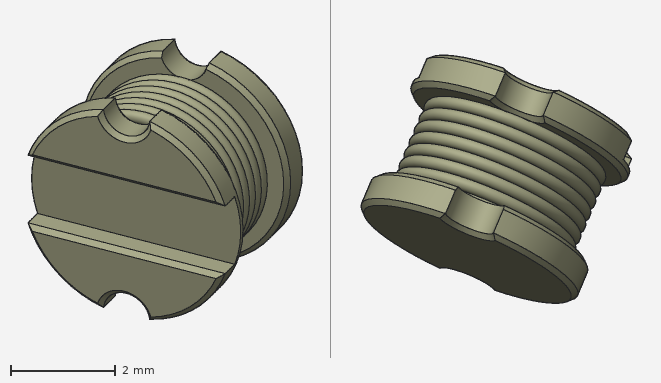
import cadquery as cq

flange_radius = 2.25
overall_length = 3.2
flange_thickness = 0.698
chamfer = 0.1

notch_radius = 0.5

slot_width = 1.5
slot_depth = 0.5

turn_count = 7
wire_radius = 0.125
winding_radius = 1.75
core_radius = 1.5

front_face = -overall_length / 2
front_flange_back = front_face + flange_thickness
rear_flange_front = overall_length / 2 - flange_thickness


def cylinder_along_y(radius, start, length, z=0.0):
    """Cylinder parallel to Y that begins at Y = start."""
    return cq.Workplane("XZ", origin=(0, start, z)).circle(radius).extrude(-length)


def make_flange(start, notch_chamfer_faces):
    """Disc with chamfered rims and two round edge notches, chamfered on the selected faces."""
    flange = cylinder_along_y(flange_radius, start, flange_thickness)
    flange = flange.faces("<Y or >Y").chamfer(chamfer)
    for notch_z in (-flange_radius, flange_radius):
        notch = cylinder_along_y(notch_radius, start, flange_thickness, notch_z)
        for face in notch_chamfer_faces:
            notch = notch.union(make_notch_flare(start, notch_z, face))
        flange = flange.cut(notch)
    return flange


def make_notch_flare(start, z, face):
    """Cone that chamfers a notch at the "front" or "rear" face of a flange."""
    if face == "front":
        face_y, inward = start, 1
    else:
        face_y, inward = start + flange_thickness, -1
    cone = cq.Solid.makeCone(
        notch_radius + chamfer, notch_radius, chamfer, cq.Vector(0, face_y, z), cq.Vector(0, inward, 0)
    )
    return cq.Workplane(cone)


def make_slot():
    """Cutter for the front slot, with chamfered edges at the front face."""
    half_width = slot_width / 2
    slot_floor = front_face + slot_depth
    chamfer_back = front_face + chamfer
    mouth = half_width + chamfer
    return (
        cq.Workplane("YZ", origin=(-flange_radius, 0, 0))
        .moveTo(front_face, -mouth)
        .lineTo(chamfer_back, -half_width)
        .lineTo(slot_floor, -half_width)
        .lineTo(slot_floor, half_width)
        .lineTo(chamfer_back, half_width)
        .lineTo(front_face, mouth)
        .close()
        .extrude(2 * flange_radius)
    )


def make_bobbin():
    """Core joining the slotted front flange to the rear flange."""
    core = cylinder_along_y(core_radius, front_flange_back, rear_flange_front - front_flange_back)
    front_flange = make_flange(front_face, ("front", "rear")).cut(make_slot())
    rear_flange = make_flange(rear_flange_front, ("rear",))
    return core.union(front_flange).union(rear_flange)


def make_turn(index):
    """One closed ring of round wire around the core."""
    turn_y = front_flange_back + (2 * index + 1) * wire_radius
    return cq.Solid.makeTorus(winding_radius, wire_radius, cq.Vector(0, turn_y, 0), cq.Vector(0, 1, 0))


bobbin = make_bobbin()
turns = [make_turn(index) for index in range(turn_count)]

result = cq.Compound.makeCompound([bobbin.val(), *turns])